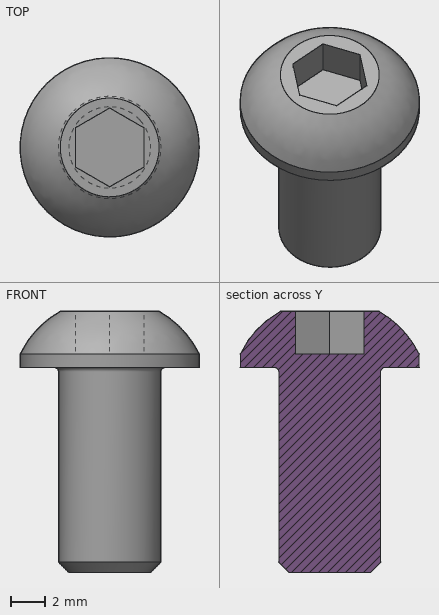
import cadquery as cq
import math

total_length = 15.3
head_diameter = 10.5
head_height = 3.3
rim_height = 0.8
top_flat_diameter = 5.78
dome_radius = 5.81

shank_diameter = 6.0
tip_chamfer = 0.61
neck_fillet = 0.25

socket_across_flats = 4.0
socket_depth = 2.5

head_radius = head_diameter / 2
top_flat_radius = top_flat_diameter / 2
shank_radius = shank_diameter / 2
shank_length = total_length - head_height
rim_top = shank_length + rim_height


def dome_midpoint():
    """Middle of the outward arc from the rim to the flat top, as (radius, height)."""
    run = head_radius - top_flat_radius
    rise = total_length - rim_top
    chord = math.hypot(run, rise)
    bulge = dome_radius - math.sqrt(dome_radius**2 - (chord / 2) ** 2)
    return (
        (head_radius + top_flat_radius) / 2 + bulge * rise / chord,
        (total_length + rim_top) / 2 + bulge * run / chord,
    )


def make_body():
    """Shank and button head, revolved about Z from a half profile."""
    fillet_sag = neck_fillet * (1 - math.sqrt(0.5))
    profile = (
        cq.Workplane("XZ")
        .moveTo(0, 0)
        .lineTo(shank_radius - tip_chamfer, 0)
        .lineTo(shank_radius, tip_chamfer)
        .lineTo(shank_radius, shank_length - neck_fillet)
        .threePointArc(
            (shank_radius + fillet_sag, shank_length - fillet_sag),
            (shank_radius + neck_fillet, shank_length),
        )
        .lineTo(head_radius, shank_length)
        .lineTo(head_radius, rim_top)
        .threePointArc(dome_midpoint(), (top_flat_radius, total_length))
        .lineTo(0, total_length)
        .close()
    )
    return profile.revolve(360, (0, 0, 0), (0, 1, 0))


def make_socket():
    """Hexagonal prism below the flat top, with two corners on the Y axis."""
    across_corners = socket_across_flats / math.cos(math.pi / 6)
    return (
        cq.Workplane("XY")
        .workplane(offset=total_length - socket_depth)
        .transformed(rotate=(0, 0, 90))
        .polygon(6, across_corners)
        .extrude(socket_depth)
    )


result = make_body().cut(make_socket())